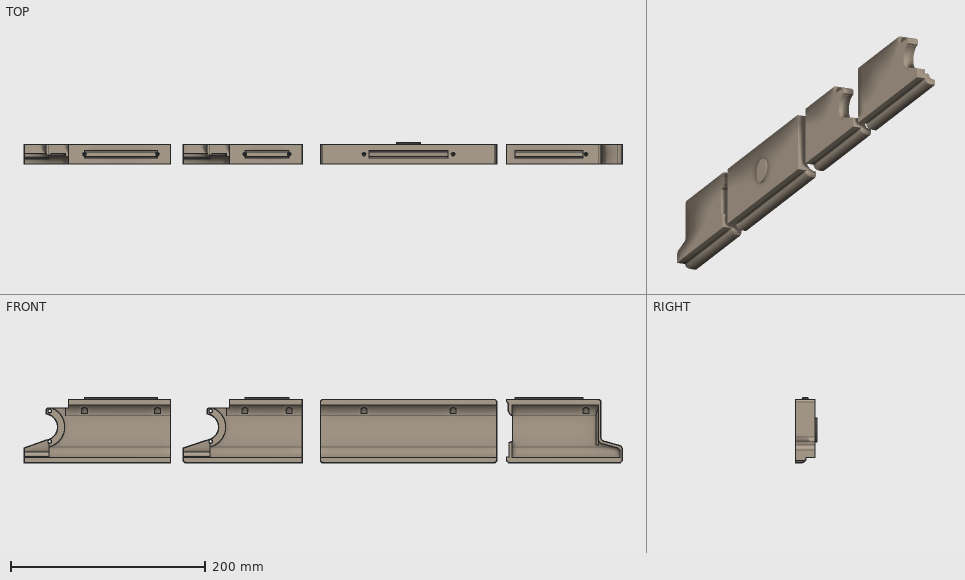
import cadquery as cq
import math

depth = 20.5
web_thickness = 9.0
top = 65.5
flange_edge = 5.5
web_front = depth - web_thickness
sweep = web_front
foot_drop = 5.5
foot_flat = web_front - foot_drop

rail_base_width = 7.5
rail_top_width = 5.0
rail_height = 2.0
rail_y = depth / 2
hole_diameter = 3.4
pocket_diameter = 6.0
pocket_bottom = 51.0
pocket_top = 61.0

nose_length = 26.0
nose_tip_height = 15.5
nose_top = 24.5
notch_radius = 13.5
notch_x = 21.0
notch_z = 37.0
collar_width = 7.5
collar_height = 2.0
lip_start = 23.0
lip_top = 56.5
lip_bottom = 50.0
lip_tip_radius = 2.5
lip_root = 42.5
shoulder_start = 45.5
pin_hole_x = 26.5
pin_hole_heights = (22.0, 53.5)
pin_hole_diameter = 3.5
ledge_height = 11.0
ledge_top_depth = 4.0
ledge_foot_depth = 5.5
toe_height = 7.0

left_length = 151.0
left_holes = (62.0, 137.5)

middle_start = 164.0
middle_length = 122.5
middle_nose_extension = 2.0
middle_holes = (227.5, 273.0)
end_chamfer = 2.0

long_start = 305.0
long_length = 182.0
long_hole_spacing = 92.0
long_groove_length = 81.5
long_center = long_start + long_length / 2
badge_diameter = 24.5
badge_thickness = 2.0
badge_height = 34.0

right_start = 496.5
right_end = 616.0
wall_outer = 594.0
wall_thickness = 2.5
wall_top_radius = 2.5
corner_bevel = 2.5
right_rail = (505.0, 575.5)
right_hole = 578.5
left_end_steps = [
    (0, 63.5),
    (2.0, 61.0),
    (2.0, 53.5),
    (4.0, 50.0),
    (6.0, 48.5),
    (6.0, 22.0),
    (2.5, 21.0),
    (2.5, 6.0),
    (0, 6.0),
]
left_wall = 5.5
bottom_chamfer = 2.5
foot_height = 18.5
foot_root_height = 22.0
foot_root_radius = 4.5
foot_tip_radius = 5.0


def skirt_bar(start, end):
    """Constant skirt section running along X."""
    c = math.cos(math.pi / 4)
    low_center = flange_edge + sweep
    high_center = top - flange_edge - sweep
    section = (
        cq.Workplane("YZ", origin=(start, 0, 0))
        .moveTo(0, 0)
        .lineTo(0, flange_edge)
        .threePointArc((sweep * c, low_center - sweep * c), (web_front, low_center))
        .lineTo(web_front, high_center)
        .threePointArc((sweep * c, high_center + sweep * c), (0, top - flange_edge))
        .lineTo(0, top)
        .lineTo(depth, top)
        .lineTo(depth, foot_drop)
        .lineTo(web_front, foot_drop)
        .threePointArc((foot_flat + foot_drop * c, foot_drop * (1 - c)), (foot_flat, 0))
        .close()
    )
    return section.extrude(end - start)


def through_depth(outline):
    """Extrude an XZ outline over the whole depth of a skirt."""
    return outline.extrude(-depth)


def box(x, y, z):
    """Box given by its limits along each axis."""
    return cq.Workplane("XY").box(
        x[1] - x[0], y[1] - y[0], z[1] - z[0], centered=False
    ).translate((x[0], y[0], z[0]))


def rail_strip(start, end, direction):
    """Rail with sloped sides, raised (+1) or sunk (-1) in the upper flange."""
    base = rail_base_width / 2
    crest = rail_top_width / 2
    level = top + direction * rail_height
    section = (
        cq.Workplane("YZ", origin=(start, 0, 0))
        .moveTo(rail_y - base, top)
        .lineTo(rail_y + base, top)
        .lineTo(rail_y + crest, level)
        .lineTo(rail_y - crest, level)
        .close()
    )
    return section.extrude(end - start)


def upright_cylinder(x, diameter, bottom, ceiling):
    """Vertical cylinder on the centre line of the upper flange."""
    return (
        cq.Workplane("XY", origin=(x, rail_y, bottom))
        .circle(diameter / 2)
        .extrude(ceiling - bottom)
    )


def cut_flange_hole(skirt, x):
    """Screw hole through the upper flange, with a wider pocket below it."""
    skirt = skirt.cut(upright_cylinder(x, pocket_diameter, pocket_bottom, pocket_top))
    return skirt.cut(upright_cylinder(x, hole_diameter, pocket_bottom, top + rail_height))


def nosed_outline(start, end, base):
    """Side outline of a nosed skirt; the notch is cut separately."""
    return (
        cq.Workplane("XZ")
        .moveTo(start, 0)
        .lineTo(end, 0)
        .lineTo(end, top)
        .lineTo(base + shoulder_start, top)
        .lineTo(base + shoulder_start, lip_top)
        .lineTo(base + lip_start + lip_tip_radius, lip_top)
        .radiusArc((base + lip_start, lip_top - lip_tip_radius), -lip_tip_radius)
        .lineTo(base + lip_start, lip_bottom)
        .lineTo(base + nose_length, lip_bottom)
        .lineTo(base + nose_length, nose_top)
        .lineTo(start, nose_tip_height)
        .close()
    )


def nose_ledge(start, end):
    """Ledge with a sloped front along the foot of the nose."""
    section = (
        cq.Workplane("YZ", origin=(start, 0, 0))
        .moveTo(web_front, toe_height)
        .lineTo(web_front, ledge_height)
        .lineTo(web_front - ledge_top_depth, ledge_height)
        .lineTo(web_front - ledge_foot_depth, toe_height)
        .close()
    )
    return section.extrude(end - start)


def notch_collar(x):
    """Disc in front of the web that becomes a collar once the notch is cut."""
    return (
        cq.Workplane("XZ", origin=(0, web_front, 0))
        .center(x, notch_z)
        .circle(notch_radius + collar_width)
        .extrude(collar_height)
    )


def nosed_skirt(start, end, holes, extension):
    """Skirt whose left end has a nose, a round notch and a lip.

    The extension lengthens the nose beyond its nominal tip.
    """
    base = start + extension
    nose_end = base + nose_length
    skirt = skirt_bar(start, end)

    skirt = skirt.cut(box((start, nose_end), (0, web_front), (toe_height, top)))
    skirt = skirt.cut(box((start, base + lip_root), (0, web_front), (notch_z, top)))
    skirt = skirt.union(nose_ledge(start, nose_end))

    collar = notch_collar(base + notch_x)
    collar = collar.cut(box((start, nose_end), (0, web_front), (0, notch_z)))
    skirt = skirt.union(collar)

    skirt = skirt.intersect(through_depth(nosed_outline(start, end, base)))
    notch = cq.Workplane("XZ").center(base + notch_x, notch_z).circle(notch_radius)
    skirt = skirt.cut(through_depth(notch))

    pin_points = [(base + pin_hole_x, z) for z in pin_hole_heights]
    pin_holes = cq.Workplane("XZ").pushPoints(pin_points).circle(pin_hole_diameter / 2)
    skirt = skirt.cut(through_depth(pin_holes))

    skirt = skirt.union(rail_strip(holes[0], holes[1], 1))
    for x in holes:
        skirt = cut_flange_hole(skirt, x)
    return skirt


def make_left_skirt():
    return nosed_skirt(0, left_length, left_holes, 0)


def make_middle_skirt():
    """Shorter nosed skirt with a longer nose, bevelled under its tip."""
    skirt = nosed_skirt(
        middle_start, middle_start + middle_length, middle_holes, middle_nose_extension
    )
    return skirt.edges("<X and |Y").edges("<Z").chamfer(end_chamfer)


def make_long_skirt():
    """Long skirt with bevelled ends and a sunk groove in place of the rail."""
    skirt = skirt_bar(long_start, long_start + long_length)
    skirt = skirt.faces("<X or >X").edges("<Z or >Z").chamfer(end_chamfer)
    half_groove = long_groove_length / 2
    skirt = skirt.cut(rail_strip(long_center - half_groove, long_center + half_groove, -1))
    for side in (-1, 1):
        skirt = cut_flange_hole(skirt, long_center + side * long_hole_spacing / 2)
    return skirt


def make_badge():
    """Round badge on the back of the long skirt."""
    return (
        cq.Workplane("XZ", origin=(long_center, depth, badge_height))
        .circle(badge_diameter / 2)
        .extrude(-badge_thickness)
    )


def right_outline(inset):
    """Outline of the right skirt, its right side moved inwards by an inset."""
    wall = wall_outer - inset
    tip = right_end - inset
    foot = foot_height - inset
    root = foot_root_height - inset
    return (
        cq.Workplane("XZ")
        .moveTo(right_start, bottom_chamfer)
        .lineTo(right_start + bottom_chamfer, 0)
        .lineTo(tip - bottom_chamfer, 0)
        .lineTo(tip, bottom_chamfer)
        .lineTo(tip, foot - foot_tip_radius)
        .radiusArc((tip - foot_tip_radius, foot), -foot_tip_radius)
        .lineTo(wall + foot_root_radius, root)
        .radiusArc((wall, root + foot_root_radius), foot_root_radius)
        .lineTo(wall, top - wall_top_radius)
        .radiusArc((wall - wall_top_radius, top), -wall_top_radius)
        .lineTo(right_start, top)
        .polyline([(right_start + x, z) for x, z in left_end_steps], includeCurrent=True)
        .close()
    )


def wall_bevel():
    """Upright bevel in the corner between the web and the end wall."""
    corner = wall_outer - wall_thickness
    return (
        cq.Workplane("XY", origin=(0, 0, foot_height))
        .moveTo(corner, web_front)
        .lineTo(corner - corner_bevel, web_front)
        .lineTo(corner, web_front - corner_bevel)
        .close()
        .extrude(top - flange_edge - foot_height)
    )


def make_right_skirt():
    """Right skirt with closed ends and a foot beyond its right wall."""
    outline = through_depth(right_outline(0))
    channel = through_depth(right_outline(wall_thickness)).cut(
        box((right_start, right_start + left_wall), (0, depth), (0, top))
    )
    walls = outline.cut(channel).intersect(
        box((right_start, right_end), (0, depth), (foot_drop, top))
    )
    skirt = skirt_bar(right_start, right_end).intersect(outline).union(walls).union(wall_bevel())
    skirt = skirt.union(rail_strip(right_rail[0], right_rail[1], 1))
    return cut_flange_hole(skirt, right_hole)


left_skirt = make_left_skirt()
middle_skirt = make_middle_skirt()
long_skirt = make_long_skirt()
badge = make_badge()
right_skirt = make_right_skirt()

result = cq.Compound.makeCompound([
    left_skirt.val(),
    middle_skirt.val(),
    long_skirt.val(),
    badge.val(),
    right_skirt.val(),
])